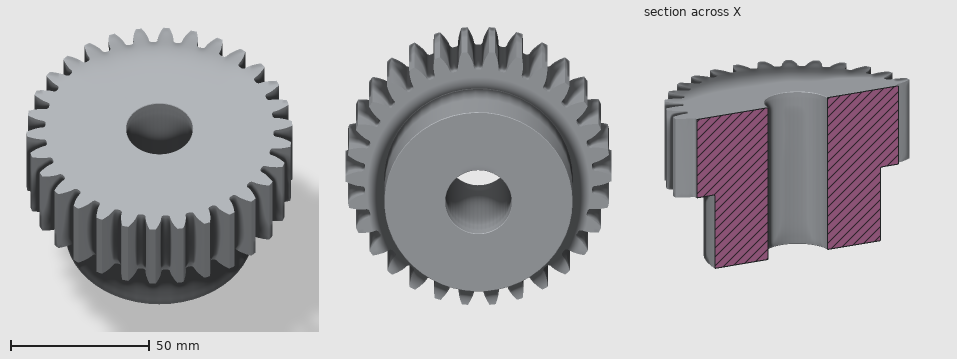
import cadquery as cq
import math

MODULE = 3.0
TEETH = 30
PRESSURE_ANGLE = math.radians(20)
FACE_WIDTH = 30.0
ADDENDUM = MODULE
DEDENDUM = 1.25 * MODULE
ROOT_FILLET = 0.38 * MODULE

FLANK_POINTS = 6
TIP_OVERCUT = 0.3

HUB_DIAMETER = 68.0
HUB_LENGTH = 28.0
EDGE_CHAMFER = 0.2
BORE_DIAMETER = 24.0

PITCH_RADIUS = MODULE * TEETH / 2
TIP_RADIUS = PITCH_RADIUS + ADDENDUM
ROOT_RADIUS = PITCH_RADIUS - DEDENDUM
BASE_RADIUS = PITCH_RADIUS * math.cos(PRESSURE_ANGLE)
TOTAL_LENGTH = HUB_LENGTH + FACE_WIDTH
TOOTH_PITCH = 2 * math.pi / TEETH


def polar(radius, angle):
    return (radius * math.cos(angle), radius * math.sin(angle))


def place(radius, angle, mirror):
    """Point on the near side of the tooth space, or mirrored onto its far side."""
    return polar(radius, TOOTH_PITCH - angle if mirror else angle)


def involute(angle):
    return math.tan(angle) - angle


def half_tooth_angle(radius):
    """Angle from the tooth centreline to the involute flank at a radius."""
    local_pressure_angle = math.acos(BASE_RADIUS / radius)
    half_pitch_thickness = TOOTH_PITCH / 4
    return half_pitch_thickness + involute(PRESSURE_ANGLE) - involute(local_pressure_angle)


def root_fillet_points(mirror):
    """Flank, middle and root points of a fillet arc tangent to the involute and the root circle.

    The offset of an involute is the same involute turned by offset / base radius, which
    gives the fillet centre directly.
    """
    centre_radius = ROOT_RADIUS + ROOT_FILLET
    centre_angle = half_tooth_angle(centre_radius) + ROOT_FILLET / BASE_RADIUS
    centre_tangent_length = math.sqrt(centre_radius**2 - BASE_RADIUS**2)
    contact_radius = math.hypot(BASE_RADIUS, centre_tangent_length - ROOT_FILLET)
    contact_angle = half_tooth_angle(contact_radius)

    centre_x, centre_y = polar(centre_radius, centre_angle)
    contact_x, contact_y = polar(contact_radius, contact_angle)
    to_contact = math.atan2(contact_y - centre_y, contact_x - centre_x) % (2 * math.pi)
    to_root = centre_angle + math.pi
    offset_x, offset_y = polar(ROOT_FILLET, (to_contact + to_root) / 2)
    middle_radius = math.hypot(centre_x + offset_x, centre_y + offset_y)
    middle_angle = math.atan2(centre_y + offset_y, centre_x + offset_x)

    places = [
        (contact_radius, contact_angle),
        (middle_radius, middle_angle),
        (ROOT_RADIUS, centre_angle),
    ]
    return [place(radius, angle, mirror) for radius, angle in places]


def flank_points(start_radius, mirror):
    """Points on the involute from a start radius to just beyond the tooth tips."""
    step = (TIP_RADIUS + TIP_OVERCUT - start_radius) / (FLANK_POINTS - 1)
    radii = [start_radius + step * i for i in range(FLANK_POINTS)]
    return [place(radius, half_tooth_angle(radius), mirror) for radius in radii]


def make_tooth_space():
    """Cutter for the gap between the tooth on +X and the next tooth."""
    near_contact, near_middle, near_root = root_fillet_points(mirror=False)
    far_contact, far_middle, far_root = root_fillet_points(mirror=True)
    near_flank = flank_points(math.hypot(*near_contact), mirror=False)
    far_flank = flank_points(math.hypot(*far_contact), mirror=True)
    return (
        cq.Workplane("XY")
        .workplane(offset=HUB_LENGTH)
        .moveTo(*near_root)
        .threePointArc(near_middle, near_contact)
        .spline(near_flank[1:], includeCurrent=True)
        .lineTo(*far_flank[-1])
        .spline(far_flank[-2::-1], includeCurrent=True)
        .threePointArc(far_middle, far_root)
        .threePointArc(polar(ROOT_RADIUS, TOOTH_PITCH / 2), near_root)
        .close()
        .extrude(FACE_WIDTH)
    )


def make_gear():
    gear = cq.Workplane("XY").workplane(offset=HUB_LENGTH).circle(TIP_RADIUS).extrude(FACE_WIDTH)
    space = make_tooth_space().val()
    axis_start = cq.Vector(0, 0, 0)
    axis_end = cq.Vector(0, 0, 1)
    spaces = [space.rotate(axis_start, axis_end, i * 360 / TEETH) for i in range(TEETH)]
    return cq.Workplane(gear.val().cut(*spaces))


def make_hub():
    """Hub with a chamfered free end and a small conical flare where it meets the gear."""
    hub_radius = HUB_DIAMETER / 2
    return (
        cq.Workplane("XZ")
        .moveTo(0, 0)
        .lineTo(hub_radius - EDGE_CHAMFER, 0)
        .lineTo(hub_radius, EDGE_CHAMFER)
        .lineTo(hub_radius, HUB_LENGTH - EDGE_CHAMFER)
        .lineTo(hub_radius + EDGE_CHAMFER, HUB_LENGTH)
        .lineTo(0, HUB_LENGTH)
        .close()
        .revolve(360, (0, 0, 0), (0, 1, 0))
    )


def make_bore_cutter():
    """Through bore with a chamfered mouth at each end, as a half profile turned about Z."""
    bore_radius = BORE_DIAMETER / 2
    mouth_radius = bore_radius + EDGE_CHAMFER
    return (
        cq.Workplane("XZ")
        .moveTo(0, 0)
        .lineTo(mouth_radius, 0)
        .lineTo(bore_radius, EDGE_CHAMFER)
        .lineTo(bore_radius, TOTAL_LENGTH - EDGE_CHAMFER)
        .lineTo(mouth_radius, TOTAL_LENGTH)
        .lineTo(0, TOTAL_LENGTH)
        .close()
        .revolve(360, (0, 0, 0), (0, 1, 0))
    )


result = make_gear().union(make_hub()).cut(make_bore_cutter())